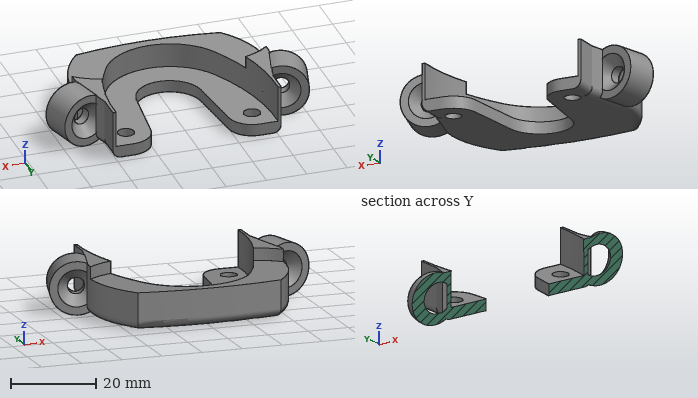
import cadquery as cq
import math

floor_top = 3.0
rim_top = 9.0
wall_top = 12.0
bottom_fillet = 2.0

hole_x = 15.6
hole_diameter = 4.0
arm_radius = 6.0
arm_end_y = arm_radius

bow_y = -14.0
inner_radius = 8.0
outer_radius = 24.0
front_y = -31.66
front_radius = 100.0

recess_front_y = -29.1
recess_front_radius = 15.4
recess_join_angle = math.radians(29.0)
recess_end_x = 20.05

tab_x = 20.8
flank_angle = math.radians(15.0)
flank_out = math.sin(flank_angle)
flank_forward = math.cos(flank_angle)

wall_end_inner = (17.8, -11.1)
wall_end_middle = (21.2, -12.5)
wall_end_outer = (24.1, -14.6)

overall_width = 64.68
ring_diameter = 13.0
ring_length = 8.0
ring_front = 11.7
ring_z = wall_top / 2
countersink_diameter = 9.0
countersink_depth = 2.75


def mirrored(point):
    """The point on the opposite side of the Y axis."""
    return (-point[0], point[1])


def polar(center, radius, angle):
    """Point on a circle at an angle in radians."""
    return (center[0] + radius * math.cos(angle), center[1] + radius * math.sin(angle))


def rounded_prism(outline):
    """Upright prism with its bottom edges rounded over, except those along X."""
    prism = outline.close().extrude(wall_top)
    return prism.faces("<Z").edges("not |X").fillet(bottom_fillet)


def flank_x(y):
    """Half width between the flank lines at a given Y."""
    return tab_x - y * math.tan(flank_angle)


def outer_body():
    """Solid outer shape: a flared body with a bowed front, joined to straight tabs.

    Rounding each bounding shape first lets the rounded sides meet in sharp mitres.
    """
    flanks = rounded_prism(
        cq.Workplane("XY")
        .moveTo(flank_x(arm_end_y), arm_end_y)
        .lineTo(flank_x(front_y), front_y)
        .lineTo(-flank_x(front_y), front_y)
        .lineTo(-flank_x(arm_end_y), arm_end_y)
    )

    arc_end = polar((0, bow_y), outer_radius, flank_angle)
    line_end = (arc_end[0] - (arm_end_y - arc_end[1]) * math.tan(flank_angle), arm_end_y)
    bow = rounded_prism(
        cq.Workplane("XY")
        .moveTo(*line_end)
        .lineTo(*arc_end)
        .threePointArc((0, bow_y - outer_radius), mirrored(arc_end))
        .lineTo(*mirrored(line_end))
    )

    front_disc = cq.Workplane("XY").center(0, front_y + front_radius)
    front_disc = front_disc.circle(front_radius).extrude(wall_top)
    front_disc = front_disc.faces("<Z").edges().fillet(bottom_fillet)

    tabs = rounded_prism(
        cq.Workplane("XY")
        .moveTo(tab_x, arm_end_y)
        .lineTo(tab_x, 0)
        .lineTo(-tab_x, 0)
        .lineTo(-tab_x, arm_end_y)
    )
    return flanks.intersect(bow).intersect(front_disc).union(tabs)


def opening():
    """U-shaped gap between the rounded arms, cut through the full height."""
    center_distance = math.hypot(hole_x, bow_y)
    tilt = math.atan2(-bow_y, hole_x) - math.acos((arm_radius + inner_radius) / center_distance)
    arm = (hole_x, 0)
    arm_middle = polar(arm, arm_radius, math.radians(135))
    arm_tangent = polar(arm, arm_radius, math.pi + tilt)
    bow_tangent = polar((0, bow_y), inner_radius, tilt)
    return (
        cq.Workplane("XY")
        .moveTo(hole_x, arm_end_y)
        .threePointArc(arm_middle, arm_tangent)
        .lineTo(*bow_tangent)
        .threePointArc((0, bow_y - inner_radius), mirrored(bow_tangent))
        .lineTo(*mirrored(arm_tangent))
        .threePointArc(mirrored(arm_middle), (-hole_x, arm_end_y))
        .close()
        .extrude(wall_top)
    )


def recess():
    """Space above the floor, inside the rim and the raised walls."""
    center = (0, recess_front_y + recess_front_radius)
    right_join = polar(center, recess_front_radius, -recess_join_angle)
    chord_x = recess_end_x - right_join[0]
    chord_y = arm_end_y - right_join[1]
    chord_towards_center = chord_y * math.sin(recess_join_angle) - chord_x * math.cos(recess_join_angle)
    side_radius = (chord_x**2 + chord_y**2) / (2 * chord_towards_center)
    side_center = polar(right_join, side_radius, math.pi - recess_join_angle)
    end_angle = math.atan2(arm_end_y - side_center[1], recess_end_x - side_center[0])
    side_middle = polar(side_center, side_radius, (end_angle - recess_join_angle) / 2)
    return (
        cq.Workplane("XY", origin=(0, 0, floor_top))
        .moveTo(recess_end_x, arm_end_y)
        .threePointArc(side_middle, right_join)
        .threePointArc((0, recess_front_y), mirrored(right_join))
        .threePointArc(mirrored(side_middle), (-recess_end_x, arm_end_y))
        .close()
        .extrude(wall_top - floor_top)
    )


def front_step():
    """Space above the rim, in front of the raised walls."""
    reach = overall_width / 2
    return (
        cq.Workplane("XY", origin=(0, 0, rim_top))
        .moveTo(*wall_end_inner)
        .threePointArc(wall_end_middle, wall_end_outer)
        .lineTo(reach, wall_end_outer[1])
        .lineTo(reach, front_y)
        .lineTo(-reach, front_y)
        .lineTo(-reach, wall_end_outer[1])
        .lineTo(*mirrored(wall_end_outer))
        .threePointArc(mirrored(wall_end_middle), mirrored(wall_end_inner))
        .close()
        .extrude(wall_top - rim_top)
    )


def ring_plane():
    """Plane on the right ring's front face, with its normal pointing back along the axis."""
    face_edge_x = tab_x + ring_front * flank_out
    offset = (overall_width / 2 - face_edge_x) / flank_forward - ring_diameter / 2
    origin = (
        face_edge_x + offset * flank_forward,
        -ring_front * flank_forward + offset * flank_out,
        ring_z,
    )
    return cq.Plane(origin=origin, xDir=(0, 0, 1), normal=(-flank_out, flank_forward, 0))


def ring():
    """Solid right ring, before boring."""
    return cq.Workplane(ring_plane()).circle(ring_diameter / 2).extrude(ring_length)


def ring_bore():
    """Through hole with a countersink at both ends, as a solid of revolution."""
    hole_radius = hole_diameter / 2
    sink_radius = countersink_diameter / 2
    plane = ring_plane()
    profile_plane = cq.Plane(origin=plane.origin, xDir=plane.xDir, normal=plane.yDir * -1)
    return (
        cq.Workplane(profile_plane)
        .polyline(
            [
                (0, 0),
                (sink_radius, 0),
                (hole_radius, countersink_depth),
                (hole_radius, ring_length - countersink_depth),
                (sink_radius, ring_length),
                (0, ring_length),
            ]
        )
        .close()
        .revolve(360, (0, 0), (0, 1))
    )


def screw_holes():
    """Vertical holes through the arm ends."""
    centers = [(hole_x, 0), (-hole_x, 0)]
    return cq.Workplane("XY").pushPoints(centers).circle(hole_diameter / 2).extrude(wall_top)


def both_sides(shape):
    """The shape together with its mirror image across the YZ plane."""
    return shape.union(shape.mirror("YZ"))


body = outer_body()
body = body.union(both_sides(ring()))
body = body.cut(recess())
body = body.cut(opening())
body = body.cut(front_step())
body = body.cut(both_sides(ring_bore()))
result = body.cut(screw_holes())